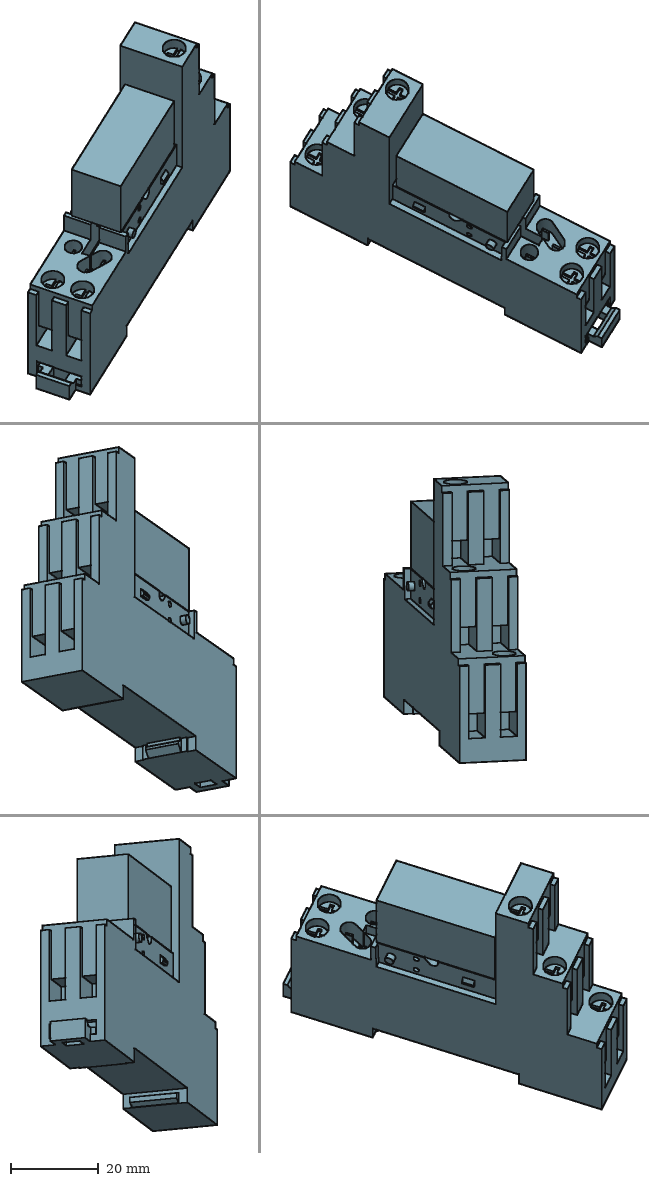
import cadquery as cq
import math


width = 15.6
length = 76.2
height = 61.0
tier_rise = 18.45
tier_pitch = 8.4
tier_count = 3
lip = 1.2
lip_drop = 1.5
tower_front = 50.2
deck_z = 28.95
plinth_z = 34.0
wall_front = 19.55
wall_rear_top = 20.7
wall_rear_bottom = 20.9

plinth_width = 12.7
ledge_z = 27.0
slit_width = 2.2
slit_front = 14.9
slit_floor = 24.0
pin_radius = 1.05
pin_y = 24.0
pin_z = 30.6
peg_hole_radius = 0.65
peg_hole_depth = 2.5
peg_hole_y = 30.1
peg_hole_heights = (28.5, 32.5)
notch_radius = 1.2
notch_y = 34.2
notch_center_z = 33.2
notch_slope = math.radians(51)
nub_y = 43.0
nub_length = 2.85
nub_reach = 0.75
nub_bottom_reach = 0.5
nub_bottom = 29.45
nub_tip_heights = (29.95, 30.35)
nub_top = 31.3

terminal_x = 3.73
channel_width = 3.85
channel_height = tier_rise - lip_drop
wire_entry_height = 5.5
wire_entry_depth = 8.0
screw_inset = 4.75
screw_radius = 2.65
screw_depth = 2.8
cross_width = 0.9
cross_length = 3.75
cross_depth = 0.8
probe_radius = 2.0
probe_depth = 6.0
probe_rear_y = 15.85
probe_front_y = 11.7
probe_front_x = 1.4
blade_width = 0.5
blade_length = 1.7
blade_top_drop = 2.0

rail_z = 3.4
rail_front = 20.0
rail_rear = 55.9
rail_pad = 0.35
hook_width = 11.3
rear_hook_reach = 1.4
rear_hook_root_heights = (0.1, 2.5)
rear_hook_tip_heights = (0.9, 2.1)
front_hook_reach = 1.8
front_hook_neck = 1.1
front_hook_tip_heights = (1.6, 2.3)
front_hook_neck_z = 2.5
latch_slot_depth = 1.6
latch_slot_bottom = 1.7
latch_slot_top = 5.05
latch_width = 8.4
latch_shoulder_width = 10.8
latch_shoulder_recess = 0.35
latch_reach = 3.4
latch_bar_rear = -1.2
latch_bar_crest = -2.35
latch_z = 4.6
latch_gap = 4.2

relay_width = 12.35
relay_front = 20.25
relay_rear = 49.3
relay_top = 49.6


def box(x_span, y_span, z_span):
    """Box between two limits along each axis."""
    size = [high - low for low, high in (x_span, y_span, z_span)]
    corner = (x_span[0], y_span[0], z_span[0])
    return cq.Workplane("XY").box(*size, centered=False).translate(corner)


def centered_box(x_size, y_span, z_span):
    """Box centred across the socket."""
    return box((-x_size / 2, x_size / 2), y_span, z_span)


def extruded_profile(points, x_size):
    """Side outline of (y, z) points, extruded centred across the socket."""
    return cq.Workplane("YZ").polyline(points).close().extrude(x_size / 2, both=True)


def rear_tiers():
    """Riser face and floor height of each rear terminal tier, lowest first."""
    return [
        (length - i * tier_pitch, height - (tier_count - 1 - i) * tier_rise)
        for i in range(tier_count)
    ]


def make_shell():
    """Stepped side outline across the full width, with the rail notch in the base."""
    points = [(0, 0), (0, deck_z - lip_drop), (lip, deck_z - lip_drop), (lip, deck_z)]
    points += [(wall_front, deck_z), (wall_front, plinth_z)]
    points += [(tower_front, plinth_z), (tower_front, height)]
    for riser_y, floor_z in reversed(rear_tiers()):
        points += [(riser_y - lip, floor_z), (riser_y - lip, floor_z - lip_drop)]
        points += [(riser_y, floor_z - lip_drop), (riser_y, floor_z - tier_rise)]
    points[-1] = (length, 0)
    points += [(rail_rear, 0), (rail_rear, rail_z), (rail_front, rail_z), (rail_front, 0)]
    return extruded_profile(points, width)


def side_recesses():
    """Space beside the plinth, open to both sides and to the top."""
    outline = [
        (wall_rear_bottom, ledge_z),
        (wall_rear_top, plinth_z),
        (tower_front, plinth_z),
        (tower_front, ledge_z),
    ]
    plinth_core = centered_box(plinth_width, (0, length), (0, height))
    return extruded_profile(outline, width).cut(plinth_core)


def plinth_slit():
    """Slit along the middle of the plinth, through the front wall and into the deck."""
    return centered_box(slit_width, (slit_front, tower_front), (slit_floor, plinth_z))


def plinth_notch():
    """Round-bottomed notch across the plinth top, with a sloping front side."""
    tangent_y = notch_y - notch_radius * math.sin(notch_slope)
    tangent_z = notch_center_z - notch_radius * math.cos(notch_slope)
    slope_end_y = tangent_y - (plinth_z - tangent_z) / math.tan(notch_slope)
    return (
        cq.Workplane("YZ")
        .moveTo(notch_y + notch_radius, plinth_z)
        .lineTo(notch_y + notch_radius, notch_center_z)
        .threePointArc((notch_y, notch_center_z - notch_radius), (tangent_y, tangent_z))
        .lineTo(slope_end_y, plinth_z)
        .close()
        .extrude(width / 2, both=True)
    )


def peg_holes():
    """Small blind holes in both sides of the plinth."""
    points = [(peg_hole_y, z) for z in peg_hole_heights]
    holes = cq.Workplane("YZ", origin=(-plinth_width / 2, 0, 0))
    holes = holes.pushPoints(points).circle(peg_hole_radius).extrude(peg_hole_depth)
    return holes.union(holes.mirror("YZ"))


def cross_pin():
    """Pin through the plinth, crossing the slit and reaching both outer sides."""
    return cq.Workplane("YZ").center(pin_y, pin_z).circle(pin_radius).extrude(width / 2, both=True)


def side_nubs():
    """Wedge-shaped catch on each side of the plinth."""
    root_x = -plinth_width / 2
    tip_x = root_x - nub_reach
    tip_low, tip_high = nub_tip_heights
    outline = [
        (root_x, nub_bottom), (root_x - nub_bottom_reach, nub_bottom),
        (tip_x, tip_low), (tip_x, tip_high), (root_x, nub_top),
    ]
    nub = (
        cq.Workplane("XZ", origin=(0, nub_y, 0))
        .polyline(outline)
        .close()
        .extrude(nub_length / 2, both=True)
    )
    return nub.union(nub.mirror("YZ"))


def wire_channels(riser_y, riser_z, inward):
    """Two channels in a riser, each ending below in a deep wire entry; inward is +1 or -1 in Y."""
    bottom_z = riser_z - channel_height
    channel_span = sorted((riser_y, riser_y + inward * lip))
    entry_span = sorted((riser_y, riser_y + inward * wire_entry_depth))
    cuts = cq.Workplane("XY")
    for x in (-terminal_x, terminal_x):
        x_span = (x - channel_width / 2, x + channel_width / 2)
        cuts = cuts.add(box(x_span, channel_span, (bottom_z, riser_z)))
        cuts = cuts.add(box(x_span, entry_span, (bottom_z, bottom_z + wire_entry_height)))
    return cuts.combine()


def screw_recess(x, y, floor_z):
    """Screw hole in a terminal floor, with the cross recess of the screw head at its bottom."""
    head_z = floor_z - screw_depth
    top = cq.Workplane("XY", origin=(x, y, head_z))
    hole = top.circle(screw_radius).extrude(screw_depth)
    long_arm = top.rect(cross_width, 2 * screw_radius).extrude(-cross_depth)
    cross = top.rect(cross_length, cross_width).extrude(-cross_depth).union(long_arm)
    head = top.circle(screw_radius).extrude(-cross_depth)
    return hole.union(cross.intersect(head))


def probe_holes():
    """Round hole and slanted long hole in the front deck."""
    deck = cq.Workplane("XY", origin=(0, 0, deck_z))
    round_hole = deck.center(-terminal_x, probe_rear_y).circle(probe_radius).extrude(-probe_depth)
    run_x = terminal_x - probe_front_x
    run_y = probe_rear_y - probe_front_y
    long_hole = (
        deck.center((terminal_x + probe_front_x) / 2, (probe_rear_y + probe_front_y) / 2)
        .slot2D(math.hypot(run_x, run_y) + 2 * probe_radius, 2 * probe_radius,
                math.degrees(math.atan2(run_y, run_x)))
        .extrude(-probe_depth)
    )
    return round_hole.union(long_hole)


def contact_blades():
    """Thin upright blades standing on the floors of the probe holes."""
    centers = [
        (-terminal_x, probe_rear_y),
        (terminal_x, probe_rear_y),
        (probe_front_x, probe_front_y),
    ]
    floor = cq.Workplane("XY", origin=(0, 0, deck_z - probe_depth))
    blade_height = probe_depth - blade_top_drop
    return floor.pushPoints(centers).rect(blade_width, blade_length).extrude(blade_height)


def rail_hooks():
    """Hooks that grip the rail from the rear and the front of the notch."""
    root_low, root_high = rear_hook_root_heights
    tip_low, tip_high = rear_hook_tip_heights
    rear_tip = rail_rear - rear_hook_reach
    rear_hook = [
        (rail_rear, root_high), (rear_tip, tip_high), (rear_tip, tip_low), (rail_rear, root_low),
    ]
    front_low, front_high = front_hook_tip_heights
    front_tip = rail_front + front_hook_reach
    neck = rail_front + front_hook_neck
    front_hook = [
        (rail_front, rail_z), (neck, rail_z), (neck, front_hook_neck_z), (front_tip, front_high),
        (front_tip, front_low), (rail_front + rail_pad, 0), (rail_front, 0),
    ]
    front_pad = centered_box(hook_width, (rail_front, rail_front + rail_pad), (0, rail_z))
    hooks = extruded_profile(rear_hook, hook_width).union(front_pad)
    return hooks.union(extruded_profile(front_hook, latch_width))


def latch_slot():
    """Slot in the front face around the latch."""
    return centered_box(hook_width, (0, latch_slot_depth), (latch_slot_bottom, latch_slot_top))


def latch():
    """Tongue with a raised pull bar in front of the socket, on a shoulder set back in the slot."""
    bar = extruded_profile(
        [
            (latch_slot_depth, latch_slot_bottom), (0, latch_slot_bottom), (0, 0),
            (-latch_reach, 0), (-latch_reach, latch_z), (latch_bar_crest, latch_z),
            (latch_bar_rear, rail_z), (latch_slot_depth, rail_z),
        ],
        latch_width,
    )
    shoulder = centered_box(
        latch_shoulder_width, (latch_shoulder_recess, latch_slot_depth), (latch_slot_bottom, rail_z)
    )
    return bar.union(shoulder)


def latch_gap_cut():
    """Opening between the latch legs, running down through the socket base below the slot."""
    return centered_box(latch_gap, (latch_bar_rear, latch_slot_depth), (0, latch_z))


def make_socket():
    socket = make_shell().cut(side_recesses()).cut(plinth_slit())
    socket = socket.cut(plinth_notch()).cut(peg_holes())
    socket = socket.union(cross_pin()).union(side_nubs())

    socket = socket.cut(wire_channels(0, deck_z - lip_drop, 1))
    for riser_y, floor_z in rear_tiers():
        socket = socket.cut(wire_channels(riser_y, floor_z - lip_drop, -1))

    screw_columns = (-terminal_x, terminal_x, terminal_x)
    for x, (riser_y, floor_z) in zip(screw_columns, rear_tiers()):
        socket = socket.cut(screw_recess(x, riser_y - screw_inset, floor_z))
    for x in (-terminal_x, terminal_x):
        socket = socket.cut(screw_recess(x, screw_inset, deck_z))

    socket = socket.cut(probe_holes()).union(contact_blades())
    socket = socket.cut(latch_slot()).union(latch()).cut(latch_gap_cut())
    return socket.union(rail_hooks())


def make_relay():
    return centered_box(relay_width, (relay_front, relay_rear), (plinth_z, relay_top))


socket = make_socket()
relay = make_relay()
result = cq.Compound.makeCompound([socket.val(), relay.val()])